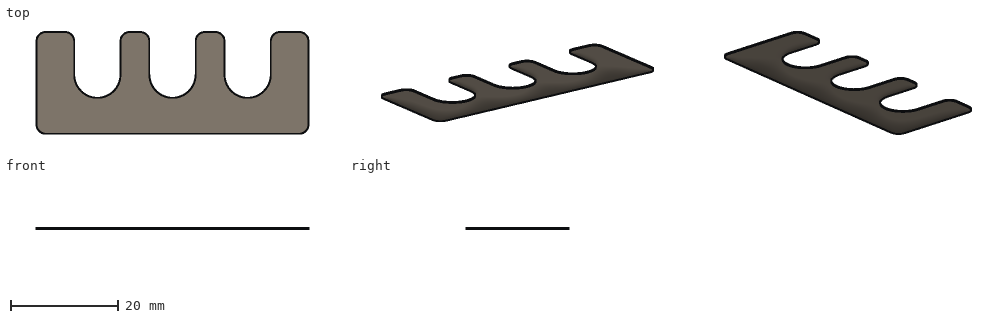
import cadquery as cq

length = 50.8
width = 19.05
thickness = 0.25
corner_radius = 1.8

slot_count = 3
slot_pitch = 14.0
slot_width = 8.6
slot_depth = 12.3
slot_radius = slot_width / 2


def make_slot(center_x):
    """Slot cutter with a round bottom, open through the +Y edge."""
    top_y = width / 2
    bottom_y = top_y - slot_depth
    arc_y = bottom_y + slot_radius
    return (
        cq.Workplane("XY")
        .moveTo(center_x - slot_radius, top_y)
        .lineTo(center_x - slot_radius, arc_y)
        .threePointArc((center_x, bottom_y), (center_x + slot_radius, arc_y))
        .lineTo(center_x + slot_radius, top_y)
        .close()
        .extrude(thickness)
    )


plate = cq.Workplane("XY").rect(length, width).extrude(thickness)
for index in range(slot_count):
    slot_x = (index - (slot_count - 1) / 2) * slot_pitch
    plate = plate.cut(make_slot(slot_x))

front_corners = plate.faces("<Y").edges("|Z")
finger_tips = plate.faces(">Y").edges("|Z")
result = front_corners.add(finger_tips).fillet(corner_radius)